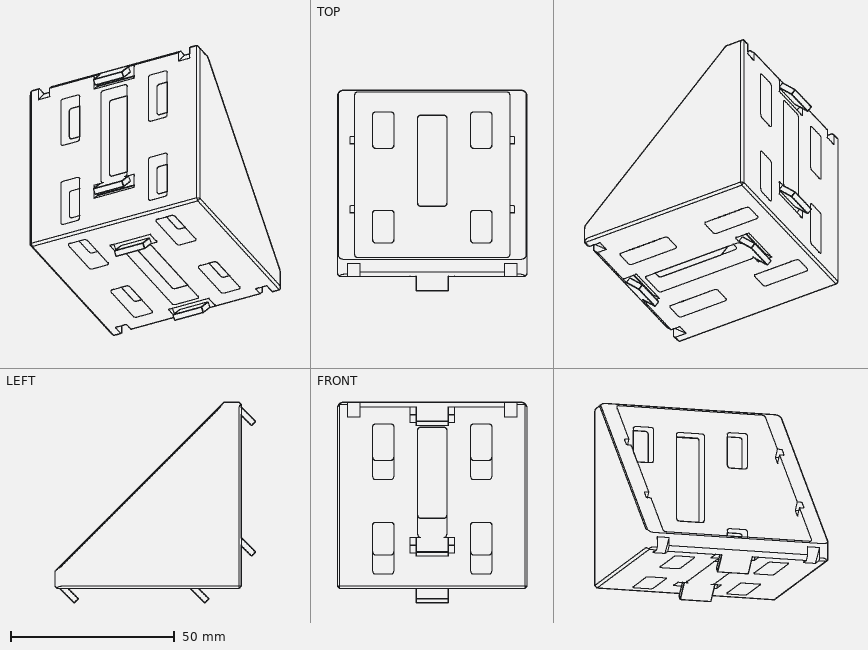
import cadquery as cq
import math


width = 58.0
leg = 57.0
end_height = 5.3
corner_radius = 2.0
edge_chamfer = 0.75
rim_chamfer = 0.3

wall = 5.9
side_wall = 5.35
inner_radius = 0.8

window_x = 14.95
window_width = 6.45
slot_width = 8.9
tab_plane_low = 15.65
upper_window = (33.3, 50.25)
lower_window = (4.4, 20.2)
slot_span = (tab_plane_low, 49.25)

bevel = 1.5
notch_inner_x = 22.1
notch_outer_x = 25.9
notch_drop = 4.55
notch_depth = 4.0

overall = 61.35
tab_reach = overall - leg
tab_width = 9.9
tab_thickness = 1.9
tab_chamfer = 0.1
tab_root = 1.85
tab_planes = (tab_plane_low, leg - bevel)

relief_width = 13.75
relief_height = 4.8
relief_depth = 2.3

catch_y = (20.55, 41.7)
catch_width = 1.5
catch_length = 3.25
catch_depth = 3.05
catch_radius = 0.5

overcut = 0.6


def prism(points, x_width, x_centre=0.0):
    """Polygon given as (Y, Z) points, extruded along X about x_centre."""
    section = cq.Workplane("YZ").polyline(points).close()
    return section.extrude(x_width / 2, both=True).translate((x_centre, 0, 0))


def on_both_walls(shape):
    """The front-wall shape together with its mirror image on the floor."""
    return shape.union(shape.mirror(cq.Vector(0, 1, -1)))


def wedge_body():
    profile = [(0, 0), (leg, 0), (leg, end_height), (end_height, leg), (0, leg)]
    rounded = prism(profile, width)
    rounded = rounded.faces(">Z").edges("|Y").fillet(corner_radius)
    rounded = rounded.faces(">Y").edges("|Z").fillet(corner_radius)
    chamfered = prism(profile, width)
    chamfered = chamfered.faces("<Y or <Z").edges().chamfer(edge_chamfer)
    sloping_face = cq.selectors.DirectionMinMaxSelector(cq.Vector(0, 1, 1))
    chamfered = chamfered.faces(sloping_face).edges("not |X").chamfer(rim_chamfer)
    return rounded.intersect(chamfered)


def cavity():
    profile = [(wall, wall), (leg + wall, wall), (wall, leg + wall)]
    block = prism(profile, width - 2 * side_wall)
    return block.edges("(<Y and |Z) or (<Z and |Y) or (<Y and <Z)").fillet(inner_radius)


def window(x_centre, x_width, span):
    """Through opening with a flat top and a sill rising inwards at 45 degrees."""
    sill, top = span
    profile = [
        (-overcut, sill - overcut),
        (wall + overcut, sill + wall + overcut),
        (wall + overcut, top),
        (-overcut, top),
    ]
    opening = prism(profile, x_width, x_centre)
    return opening.edges("not(|X or <Y or >Y)").fillet(inner_radius)


def end_bevel():
    return prism([(0, leg - bevel), (0, leg), (bevel, leg)], 2 * notch_inner_x)


def end_notch(side):
    notch_width = notch_outer_x - notch_inner_x
    notch_x = (notch_outer_x + notch_inner_x) / 2
    profile = [(0, leg - notch_drop), (0, leg), (notch_depth, leg)]
    return prism(profile, notch_width, side * notch_x)


def tab_relief(top):
    bottom = top - relief_height
    profile = [
        (0, top),
        (relief_depth, top - relief_depth),
        (relief_depth, bottom + relief_depth),
        (0, bottom),
    ]
    return prism(profile, relief_width)


def tab(top):
    """Chamfered bar sloping outwards and down at 45 degrees, its upper side meeting Y = 0 at Z = top."""
    length = tab_root + tab_reach * math.sqrt(2) + tab_chamfer
    bar = cq.Workplane("XY").box(tab_width, length, tab_thickness, centered=(True, False, False))
    bar = bar.edges().chamfer(tab_chamfer)
    bar = bar.translate((0, -(length - tab_root), -tab_thickness))
    return bar.rotate((0, 0, 0), (1, 0, 0), 45).translate((0, 0, top))


def catch_pocket(side, y_centre):
    """Pocket sunk square to the sloping rim, beside the cavity."""
    cavity_edge = width / 2 - side_wall
    pocket = cq.Workplane("XY").box(2 * catch_width, catch_length, 2 * catch_depth)
    pocket = pocket.edges("|Z").fillet(catch_radius)
    pocket = pocket.rotate((0, 0, 0), (1, 0, 0), -45)
    return pocket.translate((side * cavity_edge, y_centre, leg + end_height - y_centre))


def wall_openings():
    """Everything removed from the front wall."""
    openings = window(0, slot_width, slot_span).union(end_bevel())
    for side in (-1, 1):
        openings = openings.union(end_notch(side))
        for span in (upper_window, lower_window):
            openings = openings.union(window(side * window_x, window_width, span))
    for top in tab_planes:
        openings = openings.union(tab_relief(top))
    return openings


result = wedge_body().cut(cavity()).cut(on_both_walls(wall_openings()))
for side in (-1, 1):
    for y_centre in catch_y:
        result = result.cut(catch_pocket(side, y_centre))
for top in tab_planes:
    result = result.union(on_both_walls(tab(top)))